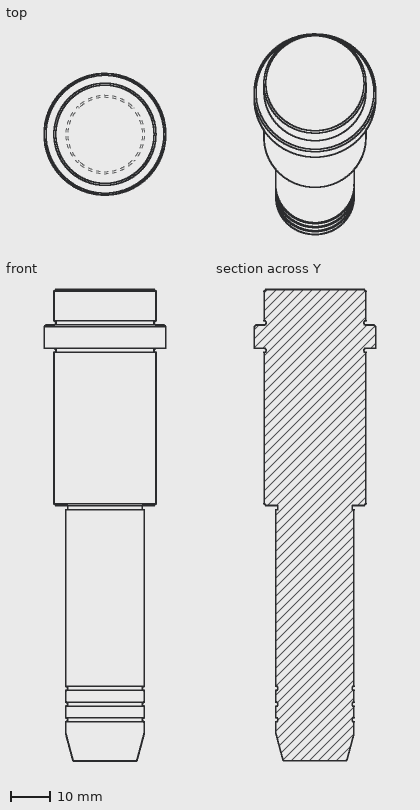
import cadquery as cq
import math

total_length = 120.0

head_radius = 13.0
head_length = 9.0

flange_radius = 15.5
flange_length = 6.0

shank_radius = head_radius
shank_length = 40.0

pin_radius = 10.0
tip_length = 7.0
tip_angle = math.radians(15.0)

edge_chamfer = 0.5
tip_fillet = 0.5

neck_width = 1.0
neck_depth = 0.5

groove_radius = 0.5
pin_groove_count = 3
pin_groove_pitch = 4.0
lowest_pin_groove_z = 10.0

flange_top_z = total_length - head_length
flange_bottom_z = flange_top_z - flange_length
shank_bottom_z = flange_bottom_z - shank_length
neck_bottom_z = shank_bottom_z - neck_width
neck_radius = pin_radius - neck_depth
tip_radius = pin_radius - tip_length * math.tan(tip_angle)


def revolve_about_z(outline):
    return outline.revolve(360, (0, 0, 0), (0, 1, 0))


def make_body():
    """Solid of revolution with the chamfers, the rounded tapered tip and the square neck."""
    half_outline = [
        (0, 0),
        (tip_radius, 0),
        (pin_radius, tip_length),
        (pin_radius, neck_bottom_z),
        (neck_radius, neck_bottom_z),
        (neck_radius, shank_bottom_z),
        (shank_radius - edge_chamfer, shank_bottom_z),
        (shank_radius, shank_bottom_z + edge_chamfer),
        (shank_radius, flange_bottom_z),
        (flange_radius, flange_bottom_z),
        (flange_radius, flange_top_z - edge_chamfer),
        (flange_radius - edge_chamfer, flange_top_z),
        (head_radius, flange_top_z),
        (head_radius, total_length - edge_chamfer),
        (head_radius - edge_chamfer, total_length),
        (0, total_length),
    ]
    body = revolve_about_z(cq.Workplane("XZ").polyline(half_outline).close())
    return body.faces("<Z").edges().fillet(tip_fillet)


def round_groove(radius, bottom_z):
    """Ring of half-round section that cuts into a cylinder of the given radius."""
    middle_z = bottom_z + groove_radius
    top_z = middle_z + groove_radius
    section = (
        cq.Workplane("XZ")
        .moveTo(radius, bottom_z)
        .threePointArc((radius - groove_radius, middle_z), (radius, top_z))
        .close()
    )
    return revolve_about_z(section)


def cut_grooves(body):
    body = body.cut(round_groove(head_radius, flange_top_z))
    body = body.cut(round_groove(shank_radius, flange_bottom_z - 2 * groove_radius))
    for index in range(pin_groove_count):
        body = body.cut(round_groove(pin_radius, lowest_pin_groove_z + index * pin_groove_pitch))
    return body


result = cut_grooves(make_body())